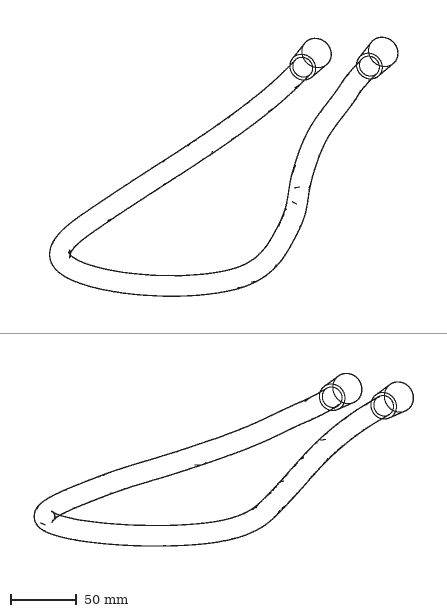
import cadquery as cq

hose_diameter = 16.0
fitting_mouth_diameter = 23.5
fitting_neck_diameter = 20.5
fitting_length = 35.5

left_leg_x = -31.0
left_end_y = 572.5
right_leg_x = 16.5
right_end_y = 590.0

loop_half_width = 80.0
loop_widest_y = 94.5
loop_bottom_x = 0.5

left_leg_bends = [(-32.0, 490), (-36.5, 419), (-46.5, 336.5), (-56.5, 271.5), (-68.0, 200.5), (-75.5, 147.5)]
right_leg_bends = [(75.5, 147.5), (66.0, 206.5), (51.5, 265.5), (37.0, 330.5), (25.5, 407), (20.0, 484)]

left_corner = [(-67.0, 41.0), (-46.0, 20.5)]
right_corner = [(47.0, 20.5), (68.5, 41.0)]


def end_fitting(x, end_y):
    """Solid of revolution about a line along Y, widening towards its end."""
    neck_y = end_y - fitting_length
    return (
        cq.Workplane("XY")
        .moveTo(x, neck_y)
        .lineTo(x + fitting_neck_diameter / 2, neck_y)
        .lineTo(x + fitting_mouth_diameter / 2, end_y)
        .lineTo(x, end_y)
        .close()
        .revolve(360, (x, 0, 0), (x, 1, 0))
    )


def hose():
    """Round hose swept from the left fitting, around the loop, to the right fitting."""
    start = (left_leg_x, left_end_y - fitting_length)
    finish = (right_leg_x, right_end_y - fitting_length)
    centreline_points = [
        start,
        *left_leg_bends,
        (-loop_half_width, loop_widest_y),
        *left_corner,
        (loop_bottom_x, hose_diameter / 2),
        *right_corner,
        (loop_half_width, loop_widest_y),
        *right_leg_bends,
        finish,
    ]
    centreline = cq.Workplane("XY").spline(centreline_points, tangents=[(0, -1), (0, 1)])
    return (
        cq.Workplane("XZ", origin=(*start, 0))
        .circle(hose_diameter / 2)
        .sweep(centreline)
    )


result = (
    hose()
    .union(end_fitting(left_leg_x, left_end_y))
    .union(end_fitting(right_leg_x, right_end_y))
)